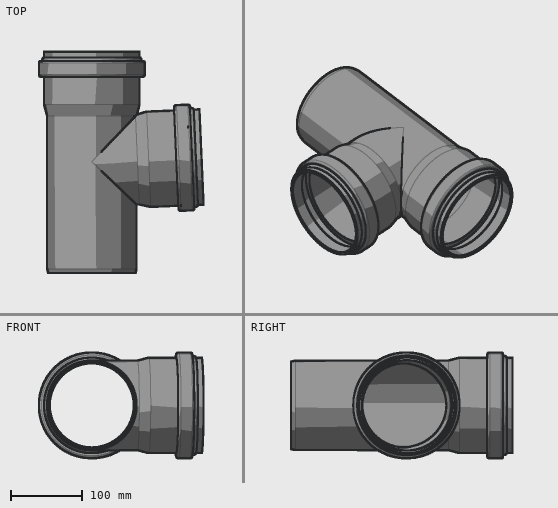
import cadquery as cq

run_length = 308.7
socket_end = 153.5
spigot_end = socket_end - run_length
branch_length = 153.0
branch_tilt = 2.5

pipe_radius = 125.0 / 2
bore_radius = 117.0 / 2
spigot_chamfer_length = 6.2
spigot_chamfer_depth = 1.5

socket_radius = 133.5 / 2
socket_bore_radius = 126.0 / 2
bead_radius = 148.0 / 2
groove_radius = 140.0 / 2
shoulder_rounding = 4.5
shoulder_radius = 69.0
lip_length = 8.0
bead_start = 13.3
bead_end = 35.5
bead_front_rounding = 2.8
bead_back_rounding = 3.7
taper_start = 73.8
taper_end = 89.5
wall = bead_radius - groove_radius


def outer_body(mouth, tail, tail_points):
    """Solid envelope of a pipe ending in a socket, its mouth at +Y."""
    bead_front = mouth - bead_start
    bead_back = mouth - bead_end
    outline = (
        cq.Workplane("XY")
        .moveTo(0, mouth)
        .lineTo(socket_radius, mouth)
        .lineTo(socket_radius, mouth - lip_length)
        .radiusArc((shoulder_radius, bead_front), shoulder_rounding)
        .lineTo(bead_radius - bead_front_rounding, bead_front)
        .radiusArc((bead_radius, bead_front - bead_front_rounding), bead_front_rounding)
        .lineTo(bead_radius, bead_back + bead_back_rounding)
        .radiusArc((bead_radius - bead_back_rounding, bead_back), bead_back_rounding)
        .lineTo(socket_radius, bead_back)
        .lineTo(socket_radius, mouth - taper_start)
        .lineTo(pipe_radius, mouth - taper_end)
    )
    for radius, position in tail_points:
        outline = outline.lineTo(radius, position)
    return outline.lineTo(0, tail).close().revolve(360, (0, 0, 0), (0, 1, 0))


def inner_cavity(mouth, tail):
    """Bore, socket bore and seal groove, to be removed from the envelope."""
    groove_front = mouth - bead_start - wall
    groove_back = mouth - bead_end + wall
    points = [
        (0, mouth),
        (socket_bore_radius, mouth),
        (socket_bore_radius, groove_front),
        (groove_radius, groove_front),
        (groove_radius, groove_back),
        (socket_bore_radius, groove_back),
        (socket_bore_radius, mouth - taper_start),
        (bore_radius, mouth - taper_end),
        (bore_radius, tail),
        (0, tail),
    ]
    return cq.Workplane("XY").polyline(points).close().revolve(360, (0, 0, 0), (0, 1, 0))


def place_branch(body):
    """Turn a body from the +Y direction to the tilted +X branch direction."""
    return body.rotate((0, 0, 0), (0, 0, 1), branch_tilt - 90)


spigot_outline = [
    (pipe_radius, spigot_end + spigot_chamfer_length),
    (pipe_radius - spigot_chamfer_depth, spigot_end),
]
run_body = outer_body(socket_end, spigot_end, spigot_outline)
run_cavity = inner_cavity(socket_end, spigot_end)

branch_body = place_branch(outer_body(branch_length, 0, [(pipe_radius, 0)]))
branch_cavity = place_branch(inner_cavity(branch_length, 0))

result = run_body.union(branch_body).cut(run_cavity).cut(branch_cavity)